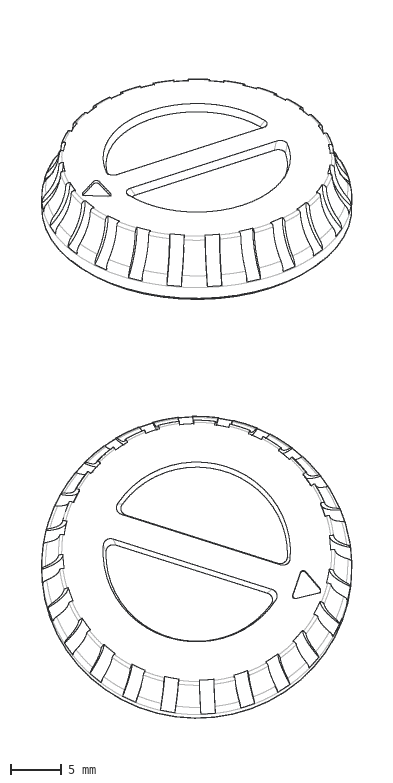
import cadquery as cq
import math

rim_radius = 15.5
knob_height = 6.7
rim_chamfer = 0.5

flank_top_radius = 13.8
flank_arc_radius = 6.0
flank_top_fillet = 0.3
flank_rim_fillet = 1.85

slot_count = 24
slot_width = 1.45
slot_arc_radius = 6.45

pocket_radius = 9.35
pocket_depth = 0.8
pocket_draft = 20.0
pocket_corner_radius = 0.8
bar_width = 2.7

pointer_base_y = -10.5
pointer_half_width = 1.77
pointer_length = 2.8
pointer_corner_radius = 0.3
pointer_depth = 0.3

flank_center_x = flank_top_radius + flank_arc_radius
FULL_TURN = 360.0


def flank_point(arc_radius, drop_angle):
    """Point (r, z) on an arc about the flank centre, drop_angle degrees below the top face."""
    angle = math.radians(drop_angle)
    return (
        flank_center_x - arc_radius * math.cos(angle),
        knob_height - arc_radius * math.sin(angle),
    )


def flank_solid(arc_radius):
    """Revolved solid with a concave flank, running from the bottom face to the top face."""
    rim_angle = math.degrees(math.acos((flank_center_x - rim_radius) / arc_radius))
    return (
        cq.Workplane("XZ")
        .lineTo(rim_radius, 0)
        .lineTo(*flank_point(arc_radius, rim_angle))
        .threePointArc(flank_point(arc_radius, rim_angle / 2), flank_point(arc_radius, 0))
        .lineTo(0, knob_height)
        .close()
        .revolve(FULL_TURN, (0, 0, 0), (0, 1, 0))
    )


def grip_body():
    """Full-depth flank with its rim transition and top edge rounded and the bottom chamfered."""
    flank_rim_z = knob_height - math.sqrt(flank_arc_radius**2 - (flank_center_x - rim_radius) ** 2)
    margin = 0.03
    rim_edge = cq.selectors.BoxSelector(
        (-2 * rim_radius, -2 * rim_radius, flank_rim_z - margin),
        (2 * rim_radius, 2 * rim_radius, flank_rim_z + margin),
        boundingbox=True,
    )
    return (
        flank_solid(flank_arc_radius)
        .edges(rim_edge)
        .fillet(flank_rim_fillet)
        .faces(">Z")
        .edges()
        .fillet(flank_top_fillet)
        .faces("<Z")
        .edges()
        .chamfer(rim_chamfer)
    )


def slot_cutters():
    """Radial bars outside the slot floor, the first one half a pitch away from +X."""
    pitch = FULL_TURN / slot_count
    bars = (
        cq.Workplane("XY")
        .polarArray(rim_radius, pitch / 2, FULL_TURN, slot_count)
        .rect(rim_radius, slot_width)
        .extrude(knob_height)
    )
    return bars.cut(flank_solid(slot_arc_radius))


def pocket_cutter():
    """Drafted D-shaped pocket on the +X side of the bar, with rounded corners."""
    flat_x = bar_width / 2
    corner_y = math.sqrt(pocket_radius**2 - flat_x**2)
    return (
        cq.Workplane("XY", origin=(0, 0, knob_height))
        .moveTo(flat_x, -corner_y)
        .threePointArc((pocket_radius, 0), (flat_x, corner_y))
        .close()
        .extrude(-pocket_depth, taper=pocket_draft)
        .edges("not(<Z or >Z)")
        .fillet(pocket_corner_radius)
    )


def pointer_cutter():
    """Shallow triangle with rounded corners."""
    return (
        cq.Workplane("XY", origin=(0, pointer_base_y, knob_height))
        .moveTo(-pointer_half_width, 0)
        .lineTo(pointer_half_width, 0)
        .lineTo(0, -pointer_length)
        .close()
        .extrude(-pointer_depth)
        .edges("|Z")
        .fillet(pointer_corner_radius)
    )


pocket = pocket_cutter()
result = (
    grip_body()
    .cut(slot_cutters())
    .cut(pocket)
    .cut(pocket.mirror("YZ"))
    .cut(pointer_cutter())
)